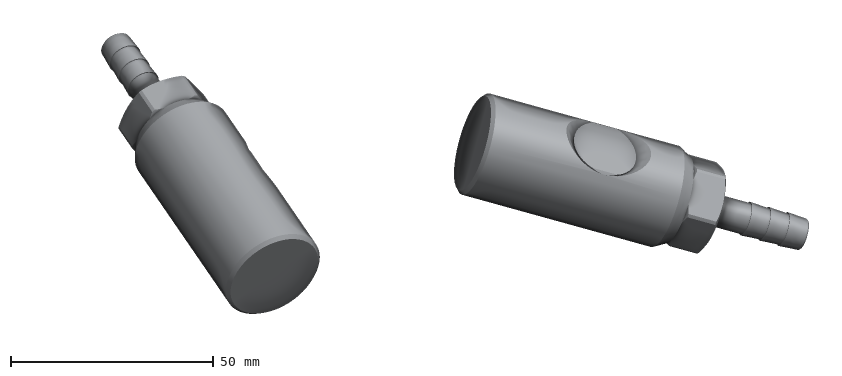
import cadquery as cq
import math


total_length = 88.4
hex_start = 24.9
body_start = 33.9

tail_diameter = 8.05
tail_radius = tail_diameter / 2
barb_radius = 4.3
barb_length = 5.0
barb_count = 3
tail_end_chamfer = 0.35
bore_diameter = 6.0
bore_depth = hex_start

hex_across_flats = 20.95
hex_corner_radius = 11.85
hex_front_radius = 10.3
hex_back_radius = 10.8
hex_bevel_slope = math.tan(math.radians(30))

body_radius = 13.0
body_nose_radius = 11.2
body_nose_length = 3.2
body_end_chamfer = 0.9

button_x = 57.3
button_radius = 8.3
button_top = 10.5
recess_bottom = math.sqrt(body_radius**2 - button_radius**2)
recess_height = body_radius - recess_bottom


def revolve_about_axis(outline):
    """Turn an (x, radius) outline, closed along the X axis, into a solid."""
    return cq.Workplane("XY").polyline(outline).close().revolve(360, (0, 0, 0), (1, 0, 0))


def hose_tail():
    """Tube with barbs that widen away from the open end."""
    outline = [
        (0, 0),
        (0, tail_radius - tail_end_chamfer),
        (tail_end_chamfer, tail_radius),
    ]
    for barb in range(1, barb_count + 1):
        barb_end = tail_end_chamfer + barb * barb_length
        outline.append((barb_end, barb_radius))
        outline.append((barb_end, tail_radius))
    outline += [
        (hex_start - tail_end_chamfer, tail_radius),
        (hex_start, tail_radius - tail_end_chamfer),
        (hex_start, 0),
    ]
    return revolve_about_axis(outline)


def hexagon():
    """Hexagon with flats facing +Z and -Z, trimmed by a bevelled disc."""
    width = body_start - hex_start
    across_corners = hex_across_flats / math.cos(math.pi / 6)
    prism = cq.Workplane("YZ", origin=(hex_start, 0, 0)).polygon(6, across_corners).extrude(width)
    front_bevel = (hex_corner_radius - hex_front_radius) * hex_bevel_slope
    back_bevel = (hex_corner_radius - hex_back_radius) * hex_bevel_slope
    trimming_disc = revolve_about_axis([
        (hex_start, 0),
        (hex_start, hex_front_radius),
        (hex_start + front_bevel, hex_corner_radius),
        (body_start - back_bevel, hex_corner_radius),
        (body_start, hex_back_radius),
        (body_start, 0),
    ])
    return prism.intersect(trimming_disc)


def body():
    """Round body with a tapered nose and a chamfered far end."""
    return revolve_about_axis([
        (body_start, 0),
        (body_start, body_nose_radius),
        (body_start + body_nose_length, body_radius),
        (total_length - body_end_chamfer, body_radius),
        (total_length, body_radius - body_end_chamfer),
        (total_length, 0),
    ])


def button_recess():
    """Space cut away around and above the button."""
    cone = (
        cq.Workplane("XY")
        .polyline([
            (button_x, recess_bottom),
            (button_x + button_radius, recess_bottom),
            (button_x + button_radius + recess_height, body_radius),
            (button_x, body_radius),
        ])
        .close()
        .revolve(360, (button_x, 0, 0), (button_x, 1, 0))
    )
    button = (
        cq.Workplane("XZ", origin=(button_x, recess_bottom, 0))
        .circle(button_radius)
        .extrude(-(button_top - recess_bottom))
    )
    return cone.cut(button)


bore = cq.Workplane("YZ").circle(bore_diameter / 2).extrude(bore_depth)

result = hose_tail().union(hexagon()).union(body()).cut(button_recess()).cut(bore)